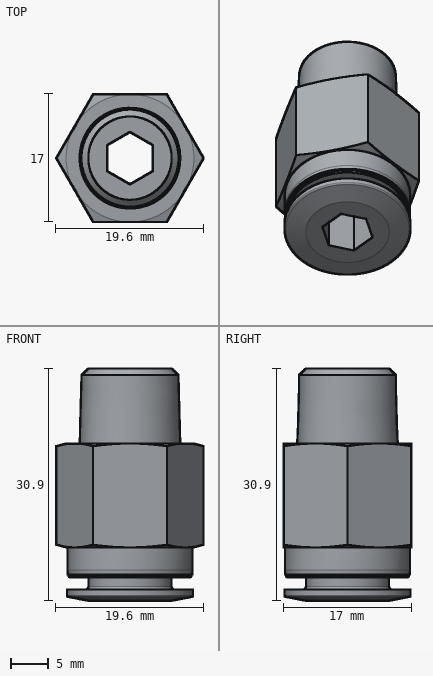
import cadquery as cq
import math

total_height = 30.9
flange_rim_bottom = 0.55
flange_top = 1.5
sleeve_bottom = 3.1
collar_bottom = 3.5
collar_taper_top = 4.08
hex_bottom = 7.1
hex_top = 20.92

flange_diameter = 16.8
flange_face_diameter = 11.1
flange_edge_radius = 0.22
neck_diameter = 11.1
neck_fillet = 0.37

collar_diameter = 16.7
collar_end_diameter = 16.6
sleeve_diameter = 16.4
sleeve_chamfer = 0.22
hex_across_flats = 17
hex_chamfer_angle = 15

spigot_base_diameter = 13.4
spigot_top_diameter = 12.92
spigot_tip_diameter = 11.1
spigot_chamfer_height = 0.85

socket_across_flats = 6.0

selection_margin = 0.03


def corner_diameter(across_flats):
    """Circle through the corners of a regular hexagon."""
    return across_flats / math.cos(math.pi / 6)


def cylinder(diameter, bottom, top):
    return cq.Workplane("XY").workplane(offset=bottom).circle(diameter / 2).extrude(top - bottom)


def revolve_profile(points):
    """Revolve (radius, height) points around Z."""
    return cq.Workplane("XZ").polyline(points).close().revolve(360, (0, 0), (0, 1))


def circle_at_height(diameter, height):
    """Selector for a circular edge around Z that fits in a thin slab at the given height."""
    reach = diameter / 2 + selection_margin
    return cq.selectors.BoxSelector(
        (-reach, -reach, height - selection_margin),
        (reach, reach, height + selection_margin),
        boundingbox=True,
    )


def make_release_ring():
    """Flange with a shallow conical underside and a neck reaching the sleeve."""
    flange = revolve_profile([
        (0, 0),
        (flange_face_diameter / 2, 0),
        (flange_diameter / 2, flange_rim_bottom),
        (flange_diameter / 2, flange_top),
        (0, flange_top),
    ])
    flange = flange.edges(circle_at_height(flange_diameter, flange_rim_bottom)).fillet(flange_edge_radius)
    ring = flange.union(cylinder(neck_diameter, flange_top, sleeve_bottom))
    return ring.edges(circle_at_height(neck_diameter, flange_top)).fillet(neck_fillet)


def make_collar():
    """Collar with a slightly tapered lower end, stepping in to a chamfered sleeve."""
    return revolve_profile([
        (0, sleeve_bottom),
        (sleeve_diameter / 2 - sleeve_chamfer, sleeve_bottom),
        (sleeve_diameter / 2, sleeve_bottom + sleeve_chamfer),
        (sleeve_diameter / 2, collar_bottom),
        (collar_end_diameter / 2, collar_bottom),
        (collar_diameter / 2, collar_taper_top),
        (collar_diameter / 2, hex_bottom),
        (0, hex_bottom),
    ])


def make_hex_body():
    """Hexagonal prism whose corners are cut back by a cone at both ends."""
    outer_diameter = corner_diameter(hex_across_flats)
    prism = (
        cq.Workplane("XY")
        .workplane(offset=hex_bottom)
        .polygon(6, outer_diameter)
        .extrude(hex_top - hex_bottom)
    )
    face_radius = hex_across_flats / 2
    corner_radius = outer_diameter / 2
    corner_drop = (corner_radius - face_radius) * math.tan(math.radians(hex_chamfer_angle))
    envelope = revolve_profile([
        (0, hex_bottom),
        (face_radius, hex_bottom),
        (corner_radius, hex_bottom + corner_drop),
        (corner_radius, hex_top - corner_drop),
        (face_radius, hex_top),
        (0, hex_top),
    ])
    return prism.intersect(envelope)


def make_spigot():
    return revolve_profile([
        (0, hex_top),
        (spigot_base_diameter / 2, hex_top),
        (spigot_top_diameter / 2, total_height - spigot_chamfer_height),
        (spigot_tip_diameter / 2, total_height),
        (0, total_height),
    ])


def make_socket():
    return (
        cq.Workplane("XY")
        .transformed(rotate=(0, 0, 90))
        .polygon(6, corner_diameter(socket_across_flats))
        .extrude(total_height)
    )


body = make_release_ring().union(make_collar()).union(make_hex_body()).union(make_spigot())
result = body.cut(make_socket())